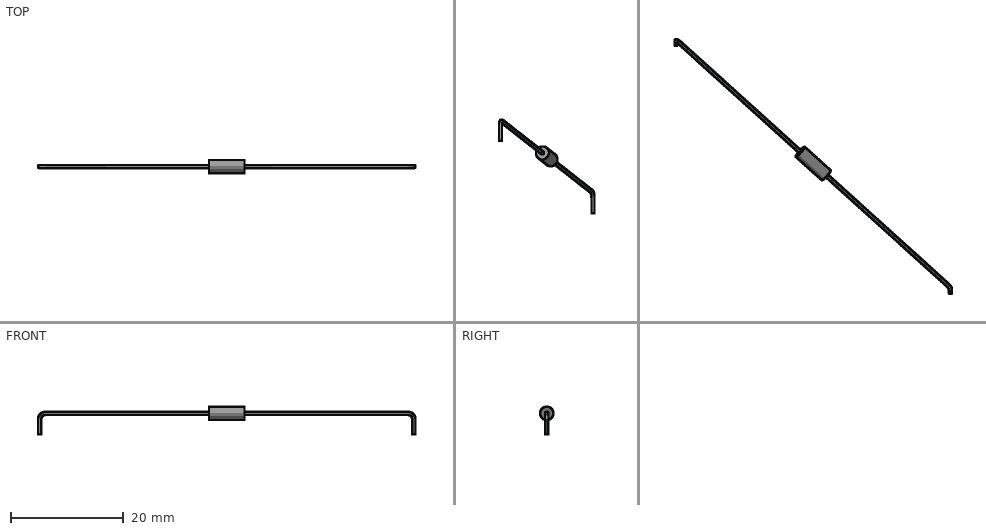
import cadquery as cq

overall_length = 66.9
overall_height = 4.93
body_diameter = 2.39
body_length = 6.3
lead_diameter = 0.61
bend_radius = 1.05

body_end = body_length / 2
lead_leg_x = (overall_length - lead_diameter) / 2
bend_start_x = lead_leg_x - bend_radius
lead_tip_z = body_diameter / 2 - overall_height


def make_body():
    return cq.Workplane("YZ", origin=(-body_end, 0, 0)).circle(body_diameter / 2).extrude(body_length)


def make_lead(side):
    """Round wire from the body's end face, bent down; side is -1 or 1 along X."""
    path = (
        cq.Workplane("XZ")
        .moveTo(side * body_end, 0)
        .lineTo(side * bend_start_x, 0)
        .tangentArcPoint((side * lead_leg_x, -bend_radius), relative=False)
        .lineTo(side * lead_leg_x, lead_tip_z)
    )
    wire_section = cq.Workplane("YZ", origin=(side * body_end, 0, 0)).circle(lead_diameter / 2)
    return wire_section.sweep(path)


body = make_body()
leads = [make_lead(side) for side in (-1, 1)]

result = cq.Compound.makeCompound([body.val(), *[lead.val() for lead in leads]])